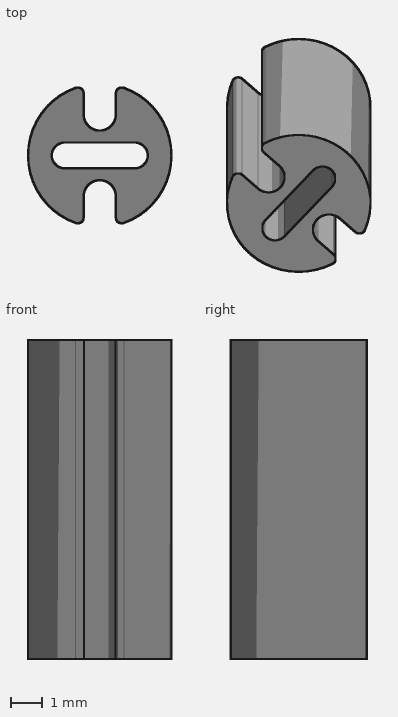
import cadquery as cq

length = 10.0
diameter = 4.5
groove_width = 1.0
groove_floor = 0.78
lip_radius = 0.19
slot_length = 3.0
slot_width = 0.8

groove_radius = groove_width / 2
groove_arc_center = groove_floor + groove_radius


def groove_cutter(side):
    """Round-bottomed groove along the full length, on the +Y (1) or -Y (-1) side."""
    depth = diameter / 2 - groove_arc_center
    channel_center = groove_arc_center + depth / 2
    round_floor = (
        cq.Workplane("XY")
        .center(0, side * groove_arc_center)
        .circle(groove_radius)
        .extrude(length)
    )
    channel = (
        cq.Workplane("XY")
        .center(0, side * channel_center)
        .rect(groove_width, depth)
        .extrude(length)
    )
    return round_floor.union(channel)


body = cq.Workplane("XY").circle(diameter / 2).extrude(length)
for side in (1, -1):
    body = body.cut(groove_cutter(side))

lip_y = ((diameter / 2) ** 2 - groove_radius**2) ** 0.5
lip_tolerance = 0.01
for side in (1, -1):
    lips = cq.selectors.BoxSelector(
        (-groove_radius - lip_tolerance, side * lip_y - lip_tolerance, 0),
        (groove_radius + lip_tolerance, side * lip_y + lip_tolerance, length),
    )
    body = body.edges("|Z").edges(lips).fillet(lip_radius)

slot = cq.Workplane("XY").slot2D(slot_length, slot_width).extrude(length)
result = body.cut(slot)